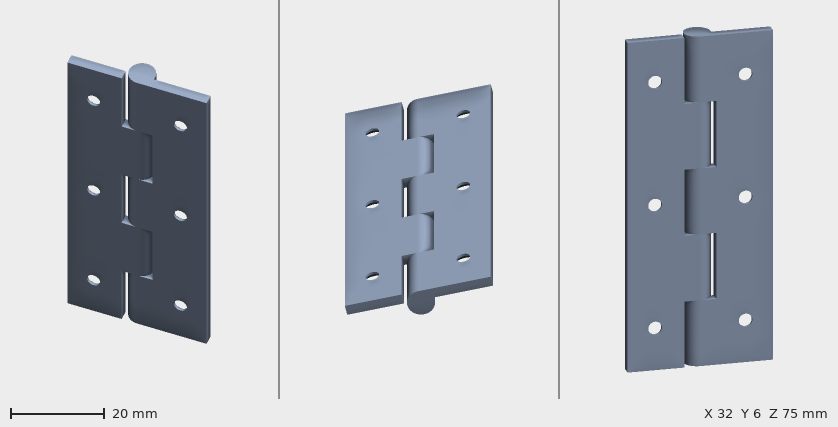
import cadquery as cq

height = 75.0
width = 32.0
leaf_thickness = 2.3

barrel_radius = 3.0
pin_radius = 1.5
knuckle_count = 5
knuckle_height = height / knuckle_count
notch_depth = 3.5

hole_diameter = 3.0
hole_offset = 10.0
hole_spacing = 28.0
hole_land = 0.6
sink_diameter = 7.0

half_width = width / 2
bottom = -height / 2
front_face = -barrel_radius
leaf_middle = front_face + leaf_thickness / 2


def knuckle_plate(side, inner_edge, base):
    """Plate strip one knuckle high, from inner_edge to the outer edge of the leaf."""
    strip_width = half_width - inner_edge
    strip_middle = side * (inner_edge + strip_width / 2)
    return (
        cq.Workplane("XY", origin=(strip_middle, leaf_middle, base))
        .rect(strip_width, leaf_thickness)
        .extrude(knuckle_height)
    )


def barrel(base):
    """Solid round knuckle around the hinge axis."""
    return cq.Workplane("XY", origin=(0, 0, base)).circle(barrel_radius).extrude(knuckle_height)


def pin_cylinder():
    """Full-height cylinder that serves as the pin and as its bore."""
    return cq.Workplane("XY", origin=(0, 0, bottom)).circle(pin_radius).extrude(height)


def screw_holes(side):
    """Countersunk through holes spaced evenly down the leaf, opening toward +Y."""
    back_face = front_face + leaf_thickness
    hole_radius = hole_diameter / 2
    hole_profile = [
        (0, front_face),
        (hole_radius, front_face),
        (hole_radius, front_face + hole_land),
        (sink_diameter / 2, back_face),
        (0, back_face),
    ]
    hole = cq.Workplane("XY").polyline(hole_profile).close().revolve(360, (0, 0), (0, 1))
    holes = cq.Workplane("XY")
    for step in (-1, 0, 1):
        holes = holes.add(hole.translate((side * hole_offset, 0, step * hole_spacing)))
    return holes.combine()


def make_leaf(side, first_knuckle):
    """Leaf on the given side of the axis that owns every second knuckle from first_knuckle."""
    leaf = cq.Workplane("XY")
    for index in range(knuckle_count):
        base = bottom + index * knuckle_height
        if index % 2 == first_knuckle:
            leaf = leaf.union(knuckle_plate(side, 0, base)).union(barrel(base))
        else:
            leaf = leaf.union(knuckle_plate(side, notch_depth, base))
    return leaf.clean().cut(pin_cylinder()).cut(screw_holes(side))


left_leaf = make_leaf(side=-1, first_knuckle=1)
right_leaf = make_leaf(side=1, first_knuckle=0)
pin = pin_cylinder()

result = cq.Compound.makeCompound([*left_leaf.solids().vals(), *right_leaf.solids().vals(), pin.val()])